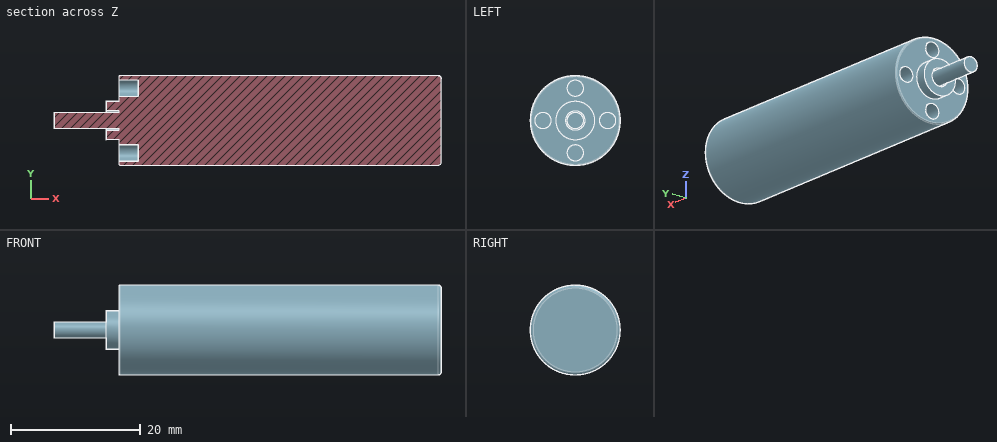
import cadquery as cq

overall_length = 60.0
body_length = 50.0
pilot_length = 2.0
shaft_reach = overall_length - body_length

body_diameter = 14.0
pilot_diameter = 6.0
bore_diameter = 3.0
shaft_diameter = 2.5

front_fillet = 0.2
rear_fillet = 0.5

hole_count = 4
hole_diameter = 2.5
hole_circle_diameter = 10.0
hole_depth = 3.0


def cylinder(start, length, diameter):
    """Solid cylinder on the X axis, running in +X from the given start."""
    return cq.Workplane("YZ", origin=(start, 0, 0)).circle(diameter / 2).extrude(length)


def make_body():
    """Motor can with rounded front and rear rims."""
    body = cylinder(0, body_length, body_diameter)
    body = body.faces("<X").edges().fillet(front_fillet)
    return body.faces(">X").edges().fillet(rear_fillet)


def make_mounting_holes():
    """Blind holes equally spaced around the front face."""
    return (
        cq.Workplane("YZ")
        .polarArray(hole_circle_diameter / 2, 0, 360, hole_count)
        .circle(hole_diameter / 2)
        .extrude(hole_depth)
    )


pilot = cylinder(-pilot_length, pilot_length, pilot_diameter)

bore = cylinder(-pilot_length, pilot_length, bore_diameter)
shaft = cylinder(-shaft_reach, shaft_reach, shaft_diameter)

result = make_body().cut(make_mounting_holes()).union(pilot).cut(bore).union(shaft)